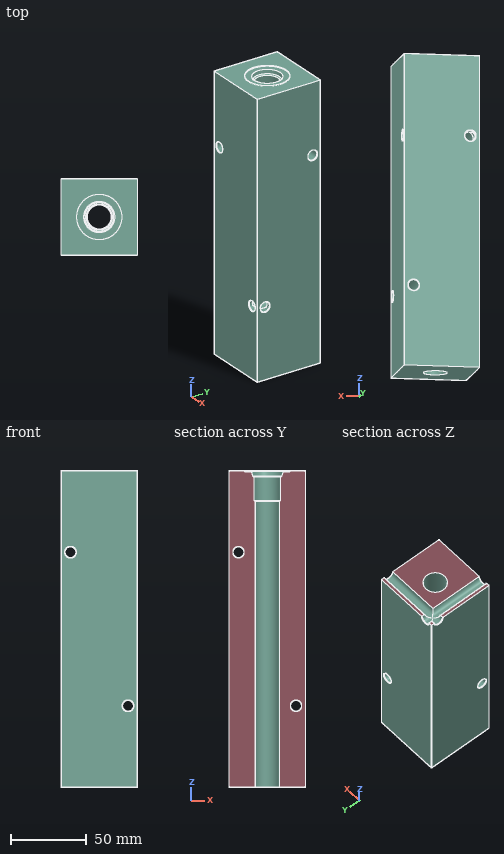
import cadquery as cq

WIDTH = 50.8
HEIGHT = 209.55
CORNER_CHAMFER = 0.3

SPOTFACE_DIAMETER = 30.0
SPOTFACE_DEPTH = 0.65
SEAT_TOP_DIAMETER = 20.65
SEAT_BOTTOM_DIAMETER = 19.2
SEAT_DEPTH = 2.8
THREAD_DIAMETER = 17.45
THREAD_DEPTH = 19.0
BORE_DIAMETER = 15.875

CROSS_HOLE_DIAMETER = 7.14
CROSS_HOLE_MOUTH_DIAMETER = 7.9
CROSS_HOLE_EDGE_DISTANCE = 6.35
CROSS_HOLE_SPACING = 101.6

CROSS_HOLE_OFFSET = WIDTH / 2 - CROSS_HOLE_EDGE_DISTANCE
CROSS_HOLE_CHAMFER = (CROSS_HOLE_MOUTH_DIAMETER - CROSS_HOLE_DIAMETER) / 2


def make_port():
    """Cutter for the port and its bore, turned about Z."""
    top = HEIGHT / 2
    spotface_floor = top - SPOTFACE_DEPTH
    seat_floor = spotface_floor - SEAT_DEPTH
    thread_start = seat_floor - (SEAT_BOTTOM_DIAMETER - THREAD_DIAMETER) / 2
    thread_end = spotface_floor - THREAD_DEPTH
    bore_start = thread_end - (THREAD_DIAMETER - BORE_DIAMETER) / 2
    return (
        cq.Workplane("XZ")
        .moveTo(0, top)
        .lineTo(SPOTFACE_DIAMETER / 2, top)
        .lineTo(SPOTFACE_DIAMETER / 2, spotface_floor)
        .lineTo(SEAT_TOP_DIAMETER / 2, spotface_floor)
        .lineTo(SEAT_BOTTOM_DIAMETER / 2, seat_floor)
        .lineTo(THREAD_DIAMETER / 2, thread_start)
        .lineTo(THREAD_DIAMETER / 2, thread_end)
        .lineTo(BORE_DIAMETER / 2, bore_start)
        .lineTo(BORE_DIAMETER / 2, -HEIGHT / 2)
        .lineTo(0, -HEIGHT / 2)
        .close()
        .revolve(360, (0, 0, 0), (0, 1, 0))
    )


def make_cross_hole(offset, z):
    """Cutter along Y for one cross hole at X = offset, flared at both ends."""
    half_width = WIDTH / 2
    hole_radius = CROSS_HOLE_DIAMETER / 2
    mouth_radius = CROSS_HOLE_MOUTH_DIAMETER / 2
    chamfer_start = half_width - CROSS_HOLE_CHAMFER
    return (
        cq.Workplane("XY")
        .moveTo(0, -half_width)
        .lineTo(mouth_radius, -half_width)
        .lineTo(hole_radius, -chamfer_start)
        .lineTo(hole_radius, chamfer_start)
        .lineTo(mouth_radius, half_width)
        .lineTo(0, half_width)
        .close()
        .revolve(360, (0, 0, 0), (0, 1, 0))
        .translate((offset, 0, z))
    )


bar = cq.Workplane("XY").box(WIDTH, WIDTH, HEIGHT)
bar = bar.edges("|Z").chamfer(CORNER_CHAMFER)
result = bar.cut(make_port())

for side in (-1, 1):
    hole = make_cross_hole(side * CROSS_HOLE_OFFSET, -side * CROSS_HOLE_SPACING / 2)
    result = result.cut(hole)
    result = result.cut(hole.rotate((0, 0, 0), (0, 0, 1), -90))